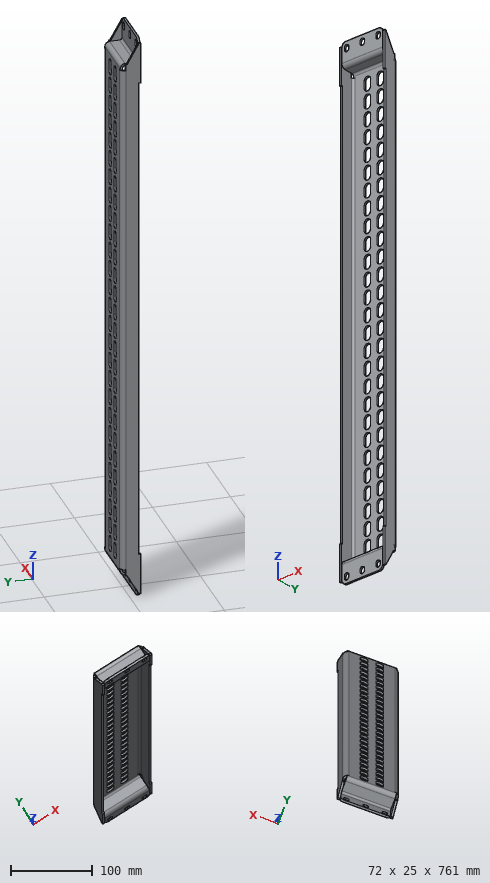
import cadquery as cq
import math

LENGTH = 761.0
WIDTH = 72.0
DEPTH = 25.0
SHEET = 3.0
BEND_OUTER = 6.0
BEND_INNER = BEND_OUTER - SHEET

INNER_WIDTH = WIDTH - 2 * SHEET
FRONT_Y = -DEPTH / 2
BACK_Y = DEPTH / 2
WEB_FRONT_Y = BACK_Y - SHEET
BEND_START_Y = BACK_Y - BEND_OUTER
TOP_Z = LENGTH / 2

END_WALL_DROP = 32.0
END_WALL_Z = TOP_Z - END_WALL_DROP
FLANGE_CORNER = 6.0
FLANGE_GAP = 1.0
FLANGE_WIDTH = INNER_WIDTH - 2 * FLANGE_GAP

SIDE_BEND_END_DROP = 40.0
SIDE_BEND_END_Z = TOP_Z - SIDE_BEND_END_DROP

SIDE_TIP_DROP = 5.0
SIDE_EAR_DROP = 59.0
SIDE_RECESS = 2.0
SIDE_SLOPE_START = 7.5

SLOT_COLUMNS = 2
SLOT_ROWS = 27
SLOT_ROWS_SPAN = 650.0
SLOT_PITCH = SLOT_ROWS_SPAN / (SLOT_ROWS - 1)
SLOT_COLUMN_SPACING = 20.5
SLOT_LENGTH = 20.5
SLOT_WIDTH = 10.0

HOLE_COUNT = 3
HOLE_SPACING = 25.0
HOLE_WIDTH = 7.0
HOLE_LENGTH = 10.0
HOLE_DROP = 10.0


def box_between(x_size, y_min, y_max, z_half):
    """A box centred in X and Z, given by its Y limits and half its height."""
    box = cq.Workplane("XY").box(x_size, y_max - y_min, 2 * z_half)
    return box.translate((0, (y_min + y_max) / 2, 0))


def arc_middle(axis, radius, direction):
    """Middle of a quarter bend, on the diagonal through its axis."""
    offset = direction * radius * math.sqrt(0.5)
    return (axis[0] + offset, axis[1] + offset)


def web_with_side_bends():
    """The web and the bends along its two long edges."""
    outer = box_between(WIDTH, FRONT_Y, BACK_Y, SIDE_BEND_END_Z)
    inner = box_between(INNER_WIDTH, FRONT_Y, WEB_FRONT_Y, SIDE_BEND_END_Z)
    rounded_outer = outer.edges("|Z and >Y").fillet(BEND_OUTER)
    rounded_inner = inner.edges("|Z and >Y").fillet(BEND_INNER)
    wall_zone = box_between(WIDTH, FRONT_Y, BEND_START_Y, SIDE_BEND_END_Z)
    return rounded_outer.cut(rounded_inner).cut(wall_zone)


def side_walls():
    """The two long walls, with sloping ends beside the flanges."""
    tip_z = TOP_Z - SIDE_TIP_DROP
    ear_z = TOP_Z - SIDE_EAR_DROP
    recessed_y = FRONT_Y + SIDE_RECESS
    upper_end = [
        (BEND_START_Y, END_WALL_Z),
        (BACK_Y - SIDE_SLOPE_START, END_WALL_Z),
        (recessed_y, tip_z),
        (FRONT_Y, tip_z),
        (FRONT_Y, ear_z),
        (recessed_y, ear_z),
    ]
    lower_end = [(y, -z) for y, z in reversed(upper_end)]
    block = cq.Workplane("YZ").polyline(upper_end + lower_end).close().extrude(WIDTH / 2, both=True)
    return block.cut(box_between(INNER_WIDTH, FRONT_Y, BACK_Y, TOP_Z))


def upper_end_strip():
    """The web's upper edge bent forward into the end wall, then bent up into the flange."""
    flange_back_y = FRONT_Y + SHEET
    wall_inner_z = END_WALL_Z - SHEET
    flange_axis = (FRONT_Y + BEND_OUTER, wall_inner_z + BEND_OUTER)
    web_axis = (BEND_START_Y, END_WALL_Z - BEND_OUTER)
    return (
        cq.Workplane("YZ")
        .moveTo(FRONT_Y, TOP_Z)
        .lineTo(FRONT_Y, flange_axis[1])
        .threePointArc(arc_middle(flange_axis, BEND_OUTER, -1), (flange_axis[0], wall_inner_z))
        .lineTo(web_axis[0], wall_inner_z)
        .threePointArc(arc_middle(web_axis, BEND_INNER, 1), (WEB_FRONT_Y, web_axis[1]))
        .lineTo(WEB_FRONT_Y, SIDE_BEND_END_Z)
        .lineTo(BACK_Y, SIDE_BEND_END_Z)
        .lineTo(BACK_Y, web_axis[1])
        .threePointArc(arc_middle(web_axis, BEND_OUTER, 1), (web_axis[0], END_WALL_Z))
        .lineTo(flange_axis[0], END_WALL_Z)
        .threePointArc(arc_middle(flange_axis, BEND_INNER, -1), (flange_back_y, flange_axis[1]))
        .lineTo(flange_back_y, TOP_Z)
        .close()
        .extrude(FLANGE_WIDTH / 2, both=True)
        .edges("|Y and >Z")
        .fillet(FLANGE_CORNER)
    )


def flange_holes():
    """Cutters for the row of holes in the upper flange."""
    return (
        cq.Workplane("XZ", origin=(0, FRONT_Y + SHEET, TOP_Z - HOLE_DROP))
        .rarray(HOLE_SPACING, 7.5, HOLE_COUNT, 1)
        .slot2D(HOLE_LENGTH, HOLE_WIDTH, 90)
        .extrude(SHEET)
    )


def web_slots():
    """Cutters for the grid of slots in the web."""
    return (
        cq.Workplane("XZ", origin=(0, BACK_Y, 0))
        .rarray(SLOT_COLUMN_SPACING, SLOT_PITCH, SLOT_COLUMNS, SLOT_ROWS)
        .slot2D(SLOT_LENGTH, SLOT_WIDTH, 90)
        .extrude(SHEET)
    )


end_strip = upper_end_strip().cut(flange_holes())
tray = web_with_side_bends().cut(web_slots()).union(side_walls())
result = tray.union(end_strip).union(end_strip.mirror("XY"))